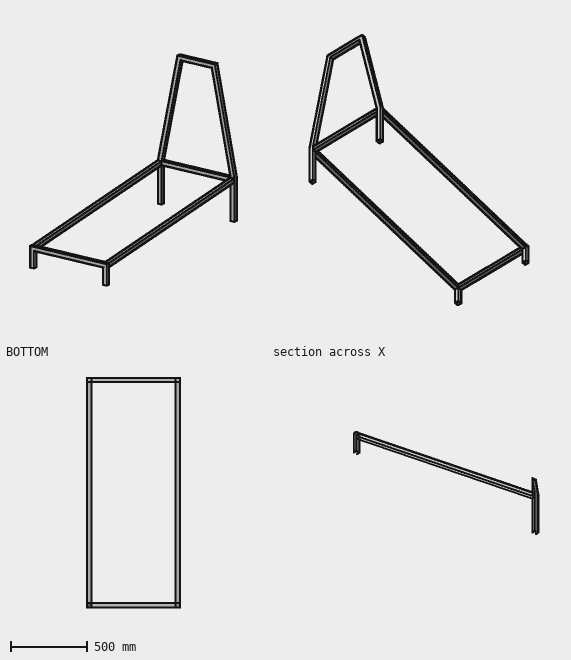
import cadquery as cq
width = 610.0
length = 1505.0
height = 1067.0

tube = 32.0
wall = 3.0
bore = tube - 2 * wall
half_tube = tube / 2

foot_height = width / 4
head_leg_height = width / 2
head_top_width = width / 2

leg_x = width / 2 - half_tube
head_top_x = head_top_width / 2 - half_tube
foot_y = half_tube - length / 2
head_y = length / 2 - half_tube

rail_start_y = foot_y + half_tube
rail_end_y = head_y - half_tube


def bent_tube(y, points):
    """Square tube with mitred corners in the plane at y, along (x, z) points, first run upright."""
    path = cq.Workplane("XZ", origin=(0, y, 0)).polyline(points)
    start_x, start_z = points[0]
    section = cq.Workplane("XY", origin=(start_x, y, start_z)).rect(tube, tube).rect(bore, bore)
    return section.sweep(path, transition="right", clean=False)


def sloped_bar(x, side, inset):
    """Solid bar between the frames, set in by inset from the top and bottom of a rail."""
    return (
        cq.Workplane("YZ", origin=(x - side / 2, 0, 0))
        .polyline([
            (rail_start_y, foot_height - inset),
            (rail_end_y, head_leg_height - inset),
            (rail_end_y, head_leg_height - tube + inset),
            (rail_start_y, foot_height - tube + inset),
        ])
        .close()
        .extrude(side)
    )


def make_rail(x):
    """Side rail: hollow tube with upright ends, rising from the foot end to the head end."""
    return sloped_bar(x, tube, 0).cut(sloped_bar(x, bore, wall))


def make_base_frame():
    """Low foot frame with the two side rails welded to the back of its corners."""
    bar_z = foot_height - half_tube
    frame = bent_tube(foot_y, [(-leg_x, 0), (-leg_x, bar_z), (leg_x, bar_z), (leg_x, 0)])
    for x in (-leg_x, leg_x):
        frame = frame.union(make_rail(x), clean=False)
    return frame


def make_head_frame():
    """Tall frame: two upright legs that lean inwards above the rails and meet a level top bar."""
    top_z = height - half_tube
    return bent_tube(head_y, [
        (-leg_x, 0),
        (-leg_x, head_leg_height),
        (-head_top_x, top_z),
        (head_top_x, top_z),
        (leg_x, head_leg_height),
        (leg_x, 0),
    ])


def make_crossbar():
    """Level tube between the legs of the head frame, its top at the bend."""
    clear_width = width - 2 * tube
    return (
        cq.Workplane("YZ", origin=(-clear_width / 2, head_y, head_leg_height - half_tube))
        .rect(tube, tube)
        .rect(bore, bore)
        .extrude(clear_width)
    )


base_frame = make_base_frame()
head_frame = make_head_frame()
crossbar = make_crossbar()

result = cq.Compound.makeCompound([base_frame.val(), head_frame.val(), crossbar.val()])